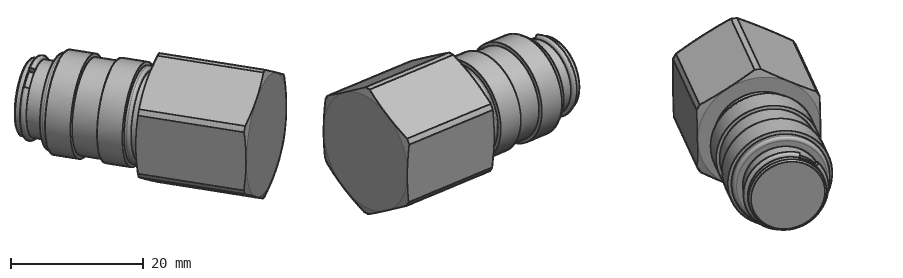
import cadquery as cq
import math

total_length = 38.15
groove_start = 1.0
wire_diameter = 1.0
groove_end = groove_start + wire_diameter
sleeve_start = 4.5
sleeve_end = 19.0
land_starts = (5.55, 13.8)
land_width = 4.27
land_flank_run = 0.1
hex_start = 20.6

plug_diameter = 12.0
plug_face_diameter = 11.4
plug_chamfer_length = 0.23
groove_diameter = 11.15
sleeve_diameter = 15.1
land_diameter = 16.15
neck_diameter = 14.0
sleeve_fillet = (sleeve_diameter - neck_diameter) / 2

hex_across_flats = 19.0
hex_corner_diameter = 21.4
hex_twist = -0.7
hex_chamfer_angle = 15.0

ring_gap_start = 19.0
ring_gap_end = 49.0


def cylinder(start, end, diameter):
    """Round bar on the X axis."""
    return cq.Workplane("YZ", origin=(start, 0, 0)).circle(diameter / 2).extrude(end - start)


def revolve_profile(points):
    """Revolve a closed (x, radius) outline about the X axis."""
    return cq.Workplane("XY").polyline(points).close().revolve(360, (0, 0, 0), (1, 0, 0))


def make_plug():
    """Chamfered front plug with the snap ring groove."""
    return revolve_profile([
        (0, 0),
        (0, plug_face_diameter / 2),
        (plug_chamfer_length, plug_diameter / 2),
        (groove_start, plug_diameter / 2),
        (groove_start, groove_diameter / 2),
        (groove_end, groove_diameter / 2),
        (groove_end, plug_diameter / 2),
        (sleeve_start, plug_diameter / 2),
        (sleeve_start, 0),
    ])


def make_land(start):
    """Raised grip band with sloped flanks."""
    end = start + land_width
    return revolve_profile([
        (start, 0),
        (start, sleeve_diameter / 2),
        (start + land_flank_run, land_diameter / 2),
        (end - land_flank_run, land_diameter / 2),
        (end, sleeve_diameter / 2),
        (end, 0),
    ])


def make_sleeve():
    """Grip sleeve with rounded ends and two raised lands."""
    sleeve = cylinder(sleeve_start, sleeve_end, sleeve_diameter).edges().fillet(sleeve_fillet)
    for start in land_starts:
        sleeve = sleeve.union(make_land(start))
    return sleeve


def make_hexagon():
    """Hexagon with turned corners and a shallow chamfer cone at both ends."""
    length = total_length - hex_start
    corner_to_corner = hex_across_flats / math.cos(math.radians(30))
    hexagon = (
        cq.Workplane("YZ", origin=(hex_start, 0, 0))
        .polygon(6, corner_to_corner)
        .extrude(length)
        .rotate((0, 0, 0), (1, 0, 0), 90 + hex_twist)
    )
    corner_radius = hex_corner_diameter / 2
    face_radius = hex_across_flats / 2
    chamfer_length = (corner_radius - face_radius) * math.tan(math.radians(hex_chamfer_angle))
    turned_blank = revolve_profile([
        (hex_start, 0),
        (hex_start, face_radius),
        (hex_start + chamfer_length, corner_radius),
        (total_length - chamfer_length, corner_radius),
        (total_length, face_radius),
        (total_length, 0),
    ])
    return hexagon.intersect(turned_blank)


def make_housing():
    """Coupling body: plug, sleeve, neck and hexagon in one piece."""
    neck = cylinder(sleeve_start, hex_start, neck_diameter)
    return make_plug().union(neck).union(make_sleeve()).union(make_hexagon())


def make_snap_ring():
    """Open round-wire ring resting on the floor of the plug groove."""
    center_radius = (groove_diameter + wire_diameter) / 2
    sweep = 360 - (ring_gap_end - ring_gap_start)
    return (
        cq.Workplane("XZ")
        .center((groove_start + groove_end) / 2, center_radius)
        .circle(wire_diameter / 2)
        .revolve(sweep, (0, -center_radius, 0), (1, -center_radius, 0))
        .rotate((0, 0, 0), (1, 0, 0), ring_gap_end)
    )


housing = make_housing()
snap_ring = make_snap_ring()

result = cq.Compound.makeCompound([*housing.solids().vals(), *snap_ring.solids().vals()])